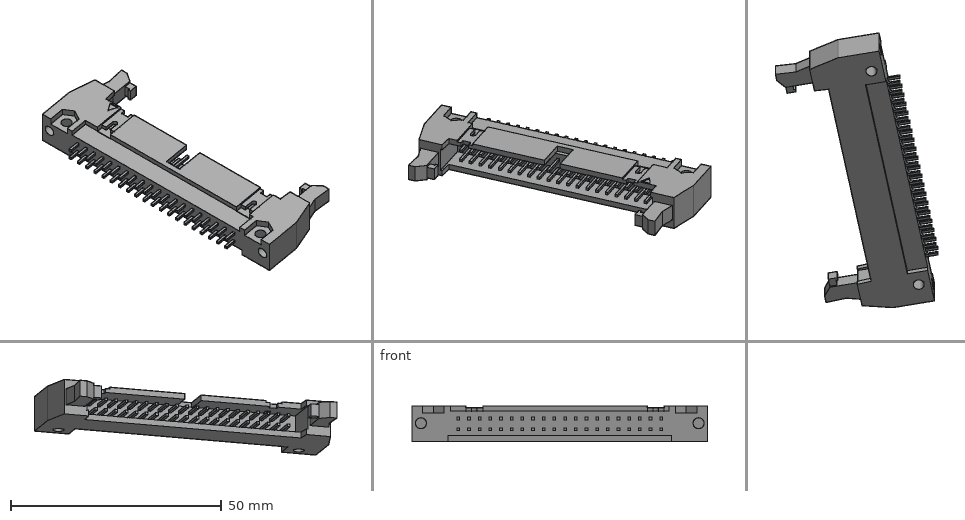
import cadquery as cq

LENGTH = 70.4
HEIGHT = 8.5
TOP = HEIGHT / 2
BODY_REAR = 13.8
CUT_MARGIN = 0.7

TOWER_REAR = 17.2
TOWER_SLOPE_START = 10.0
TOWER_OUTER_X = 33.3
TOWER_INNER_X = 27.25
TOWER_ROOT_X = 27.0

WALL = 1.4
CAVITY_FLOOR_Y = 7.45
CAVITY_LENGTH = 55.3
CAVITY_TOP = TOP - WALL

PIN_ROWS = 2
PINS_PER_ROW = 20
PIN_ROW_SPAN = 48.2
PITCH = PIN_ROW_SPAN / (PINS_PER_ROW - 1)
PIN_WIDTH = 0.6
PIN_TIP_Y = -2.95
PIN_REAR_Y = 13.4

LEDGE_WIDTH = 4.9
TOP_LEDGE_LENGTH = 51.95
TOP_LEDGE_DEPTH = 1.3
BOTTOM_LEDGE_LENGTH = 53.2
BOTTOM_LEDGE_DEPTH = 1.5

CHANNEL_CENTRES = (-8 * PITCH, 9 * PITCH)
CHANNEL_WIDTH = 4.0
CHANNEL_DEPTH = 0.4
CHANNEL_STEP_Y = 6.6
CHANNEL_SLOT_WIDTH = 1.35
CHANNEL_SLOT_END_Y = 9.65
CHANNEL_NOTCH_WIDTH = 2.0
CHANNEL_NOTCH_LENGTH = 1.1

KEY_WIDTH = 4.1
KEY_START_Y = 6.4

MARK_CENTRE_X = -24.15
MARK_WIDTH = 2.45
MARK_BASE_Y = 13.4
MARK_TIP_Y = 11.05
MARK_DEPTH = 0.3

HOLE_DIAMETER = 2.6
MOUNT_X = 30.05
MOUNT_Y = 2.8
POCKET_WIDTH = 5.15
POCKET_SIDE_Y = 4.4
POCKET_TIP_Y = 5.8
POCKET_DEPTH = 1.7
FRONT_HOLE_X = 33.0
FRONT_HOLE_Z = 0.15
FRONT_HOLE_DEPTH = 4.9

LATCH_HEIGHT = 3.95
LATCH_REAR = 25.7
LATCH_INNER_X = 28.15
LATCH_ROOT_X = 32.9
LATCH_WAIST_X = 31.9
LATCH_WAIST_Y = 20.8
LATCH_TIP_X = (30.4, 32.2)
LATCH_CORNER_Y = 24.0
LATCH_OVERLAP = 0.7
HOOK_HEIGHT = 2.95
HOOK_END_X = 26.2
HOOK_FRONT_Y = 22.25
LIP_WIDTH = 0.7
LIP_FRONT_Y = 21.8


def box(x_range, y_range, z_range):
    """Box spanning the given ranges."""
    (x0, x1), (y0, y1), (z0, z1) = x_range, y_range, z_range
    return cq.Workplane("XY").box(x1 - x0, y1 - y0, z1 - z0, centered=False).translate((x0, y0, z0))


def span(centre, width):
    """Range of the given width about a centre."""
    return (centre - width / 2, centre + width / 2)


def plate(points, z_range):
    """Plate with the given outline in plan, filling the given height range."""
    z0, z1 = z_range
    return cq.Workplane("XY").workplane(offset=z0).polyline(points).close().extrude(z1 - z0)


def both_ends(shape):
    """The shape together with its mirror image at the other end."""
    return shape.union(shape.mirror("YZ"))


def housing():
    right_edge = [
        (LENGTH / 2, 0),
        (LENGTH / 2, TOWER_SLOPE_START),
        (TOWER_OUTER_X, TOWER_REAR),
        (TOWER_INNER_X, TOWER_REAR),
        (TOWER_ROOT_X, BODY_REAR),
    ]
    left_edge = [(-x, y) for x, y in reversed(right_edge)]
    cavity = box(
        span(0, CAVITY_LENGTH), (CAVITY_FLOOR_Y, TOWER_REAR + CUT_MARGIN), (-CAVITY_TOP, CAVITY_TOP)
    )
    return plate(right_edge + left_edge, (-TOP, TOP)).cut(cavity)


def front_ledges():
    y_range = (-CUT_MARGIN, LEDGE_WIDTH)
    upper = box(span(0, TOP_LEDGE_LENGTH), y_range, (TOP - TOP_LEDGE_DEPTH, TOP + CUT_MARGIN))
    lower = box(span(0, BOTTOM_LEDGE_LENGTH), y_range, (-TOP - CUT_MARGIN, -TOP + BOTTOM_LEDGE_DEPTH))
    return upper.union(lower)


def channel(centre):
    """Channel in the top wall with a deep front step, a round-ended slot and a rear notch."""
    rear = BODY_REAR + CUT_MARGIN
    through_wall = (CAVITY_TOP, TOP + CUT_MARGIN)
    slot_radius = CHANNEL_SLOT_WIDTH / 2
    slot_arc_y = CHANNEL_SLOT_END_Y - slot_radius
    shallow = box(span(centre, CHANNEL_WIDTH), (LEDGE_WIDTH, rear), (TOP - CHANNEL_DEPTH, TOP + CUT_MARGIN))
    step = box(span(centre, CHANNEL_WIDTH), (LEDGE_WIDTH, CHANNEL_STEP_Y), through_wall)
    slot = box(span(centre, CHANNEL_SLOT_WIDTH), (LEDGE_WIDTH, slot_arc_y), through_wall)
    slot_end = (
        cq.Workplane("XY")
        .workplane(offset=CAVITY_TOP)
        .center(centre, slot_arc_y)
        .circle(slot_radius)
        .extrude(WALL)
    )
    notch = box(span(centre, CHANNEL_NOTCH_WIDTH), (BODY_REAR - CHANNEL_NOTCH_LENGTH, rear), through_wall)
    return shallow.union(step).union(slot).union(slot_end).union(notch)


def key_slot():
    return box(span(0, KEY_WIDTH), (KEY_START_Y, BODY_REAR + CUT_MARGIN), (CAVITY_TOP, TOP + CUT_MARGIN))


def pin_one_mark():
    left, right = span(MARK_CENTRE_X, MARK_WIDTH)
    outline = [(left, MARK_BASE_Y), (right, MARK_BASE_Y), (MARK_CENTRE_X, MARK_TIP_Y)]
    return plate(outline, (TOP - MARK_DEPTH, TOP + CUT_MARGIN))


def mounting_cuts():
    """Pointed pocket with a vertical through hole, and a blind hole in the front face."""
    left, right = span(MOUNT_X, POCKET_WIDTH)
    outline = [
        (left, -CUT_MARGIN),
        (right, -CUT_MARGIN),
        (right, POCKET_SIDE_Y),
        (MOUNT_X, POCKET_TIP_Y),
        (left, POCKET_SIDE_Y),
    ]
    pocket = plate(outline, (TOP - POCKET_DEPTH, TOP + CUT_MARGIN))
    through_hole = (
        cq.Workplane("XY")
        .workplane(offset=-TOP)
        .center(MOUNT_X, MOUNT_Y)
        .circle(HOLE_DIAMETER / 2)
        .extrude(HEIGHT)
    )
    front_hole = (
        cq.Workplane("XZ")
        .center(FRONT_HOLE_X, FRONT_HOLE_Z)
        .circle(HOLE_DIAMETER / 2)
        .extrude(-FRONT_HOLE_DEPTH)
    )
    return both_ends(pocket.union(through_hole).union(front_hole))


def latches():
    """Waisted latch arms rising from the towers, each with an inward lipped hook."""
    tip_inner, tip_outer = LATCH_TIP_X
    arm = plate(
        [
            (LATCH_INNER_X, TOWER_REAR - LATCH_OVERLAP),
            (LATCH_ROOT_X, TOWER_REAR - LATCH_OVERLAP),
            (LATCH_ROOT_X, TOWER_REAR),
            (LATCH_WAIST_X, LATCH_WAIST_Y),
            (tip_outer, LATCH_REAR),
            (tip_inner, LATCH_REAR),
            (LATCH_INNER_X, LATCH_CORNER_Y),
        ],
        span(0, LATCH_HEIGHT),
    )
    hook_z = span(0, HOOK_HEIGHT)
    hook = box((HOOK_END_X, LATCH_INNER_X), (HOOK_FRONT_Y, LATCH_CORNER_Y), hook_z)
    lip = box((HOOK_END_X, HOOK_END_X + LIP_WIDTH), (LIP_FRONT_Y, HOOK_FRONT_Y), hook_z)
    return both_ends(arm.union(hook).union(lip))


def pins():
    """Two rows of square pins running through the cavity floor."""
    return (
        cq.Workplane("XZ", origin=(0, PIN_TIP_Y, 0))
        .rarray(PITCH, PITCH, PINS_PER_ROW, PIN_ROWS)
        .rect(PIN_WIDTH, PIN_WIDTH)
        .extrude(PIN_TIP_Y - PIN_REAR_Y)
    )


result = housing().cut(front_ledges())
for channel_centre in CHANNEL_CENTRES:
    result = result.cut(channel(channel_centre))
result = result.cut(key_slot()).cut(pin_one_mark()).cut(mounting_cuts())
result = result.union(latches()).union(pins())